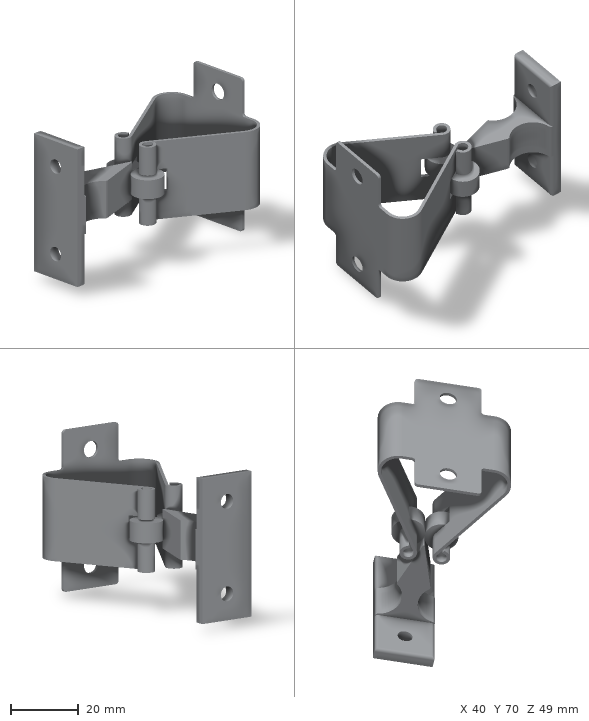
import cadquery as cq
import math

total_depth = 70.0
clip_width = 40.0
clip_depth = 36.05

sheet = 1.0
bend_radius = 6.0
clip_height = 25.0
curl_bore = 3.2
curl_gap = 0.5
flange_width = 20.0
flange_height = 49.0
flange_corner = 1.0
flange_hole = 5.1
flange_hole_spacing = 35.0
slot_height = 7.0
slot_reach = 6.5

roller_diameter = 10.0
roller_height = 6.0

plate_width = 18.0
plate_height = 44.0
plate_thickness = 3.6
plate_rounding = 1.0
plate_hole = 4.5
plate_hole_spacing = 28.0
tongue_height = 12.0
tip_width = 0.4
tip_offset = 1.6
head_width = 10.0
head_offset = 17.0
neck_width = 5.0
neck_offset = 23.0
neck_radius = 7.0
foot_rounding = 0.5

back_y = clip_depth
front_y = clip_depth - total_depth
roller_x = roller_diameter / 2


def polar(center, radius, degrees):
    """Point on a circle in the XY plane."""
    angle = math.radians(degrees)
    return (center[0] + radius * math.cos(angle), center[1] + radius * math.sin(angle))


def make_half_strip():
    """Left half of the bent sheet: back, bend, straight leg and slotted curl."""
    bend = (bend_radius - clip_width / 2, back_y - bend_radius)
    curl = (-roller_x, 0.0)
    bend_inner = bend_radius - sheet
    curl_inner = curl_bore / 2
    curl_outer = curl_inner + sheet

    span_x = bend[0] - curl[0]
    span_y = bend[1] - curl[1]
    span_angle = math.degrees(math.atan2(span_y, span_x))
    lean = math.acos((bend_radius + curl_inner) / math.hypot(span_x, span_y))
    leg_normal = span_angle - math.degrees(lean)

    leg_side = leg_normal + 180
    bend_middle = (90 + leg_side) / 2

    tail_start = leg_normal - 270
    curl_middle = (leg_normal + tail_start) / 2
    tail_length = curl_inner - curl_gap
    tail_inner = polar(polar(curl, curl_inner, tail_start), tail_length, leg_normal)
    tail_outer = polar(polar(curl, curl_outer, tail_start), tail_length, leg_normal)

    half_strip = (
        cq.Workplane("XY", origin=(0, 0, -clip_height / 2))
        .moveTo(0, back_y)
        .lineTo(bend[0], back_y)
        .threePointArc(polar(bend, bend_radius, bend_middle), polar(bend, bend_radius, leg_side))
        .lineTo(*polar(curl, curl_inner, leg_normal))
        .threePointArc(polar(curl, curl_inner, curl_middle), polar(curl, curl_inner, tail_start))
        .lineTo(*tail_inner)
        .lineTo(*tail_outer)
        .lineTo(*polar(curl, curl_outer, tail_start))
        .threePointArc(polar(curl, curl_outer, curl_middle), polar(curl, curl_outer, leg_normal))
        .lineTo(*polar(bend, bend_inner, leg_side))
        .threePointArc(polar(bend, bend_inner, bend_middle), (bend[0], back_y - sheet))
        .lineTo(0, back_y - sheet)
        .close()
        .extrude(clip_height)
    )

    slot = (
        cq.Workplane("XY")
        .box(roller_diameter, 2 * slot_reach, slot_height)
        .rotate((0, 0, 0), (0, 0, 1), leg_normal)
        .translate((*curl, 0))
    )
    return half_strip.cut(slot)


def make_clip():
    half_strip = make_half_strip()
    strip = half_strip.union(half_strip.mirror("YZ"))

    sheet_middle = back_y - sheet / 2
    flange = (
        cq.Workplane("XY")
        .box(flange_width, sheet, flange_height)
        .edges("|Y")
        .fillet(flange_corner)
        .translate((0, sheet_middle, 0))
    )
    clip = strip.union(flange)
    for side_x in (-1, 1):
        for side_z in (-1, 1):
            corner = (side_x * flange_width / 2, sheet_middle, side_z * clip_height / 2)
            clip = clip.edges(cq.NearestToPointSelector(corner)).fillet(flange_corner)

    holes = (
        cq.Workplane("XZ", origin=(0, back_y, 0))
        .rarray(0.7, flange_hole_spacing, 1, 2)
        .circle(flange_hole / 2)
        .extrude(sheet)
    )
    return clip.cut(holes)


def make_roller(x):
    return (
        cq.Workplane("XY", origin=(x, 0, -roller_height / 2))
        .circle(roller_diameter / 2)
        .circle(curl_bore / 2)
        .extrude(roller_height)
    )


def make_catch():
    plate_back = front_y + plate_thickness

    plate = (
        cq.Workplane("XY")
        .box(plate_width, plate_thickness, plate_height)
        .faces(">Y")
        .edges()
        .fillet(plate_rounding)
        .translate((0, front_y + plate_thickness / 2, 0))
    )

    neck_center_x = neck_width / 2 + neck_radius
    neck_reach = math.sqrt(neck_radius**2 - (neck_center_x - head_width / 2) ** 2)
    foot_x = plate_width / 2 - foot_rounding
    foot_reach = math.sqrt(neck_radius**2 - (neck_center_x - foot_x) ** 2)
    right_side = [
        (tip_width / 2, -tip_offset),
        (head_width / 2, -head_offset),
        (head_width / 2, -neck_offset + neck_reach),
    ]
    half_tongue = (
        cq.Workplane("XY", origin=(0, 0, -tongue_height / 2))
        .moveTo(0, -tip_offset)
        .polyline(right_side, includeCurrent=True)
        .threePointArc((neck_width / 2, -neck_offset), (foot_x, -neck_offset - foot_reach))
        .lineTo(plate_width / 2, plate_back)
        .lineTo(plate_width / 2, front_y)
        .lineTo(0, front_y)
        .close()
        .extrude(tongue_height)
    )
    tongue = half_tongue.union(half_tongue.mirror("YZ"))

    holes = (
        cq.Workplane("XZ", origin=(0, plate_back, 0))
        .rarray(0.7, plate_hole_spacing, 1, 2)
        .circle(plate_hole / 2)
        .extrude(plate_thickness)
    )
    return plate.union(tongue).cut(holes)


clip = make_clip()
rollers = [make_roller(x) for x in (-roller_x, roller_x)]
catch = make_catch()

result = cq.Compound.makeCompound([clip.val(), *[roller.val() for roller in rollers], catch.val()])